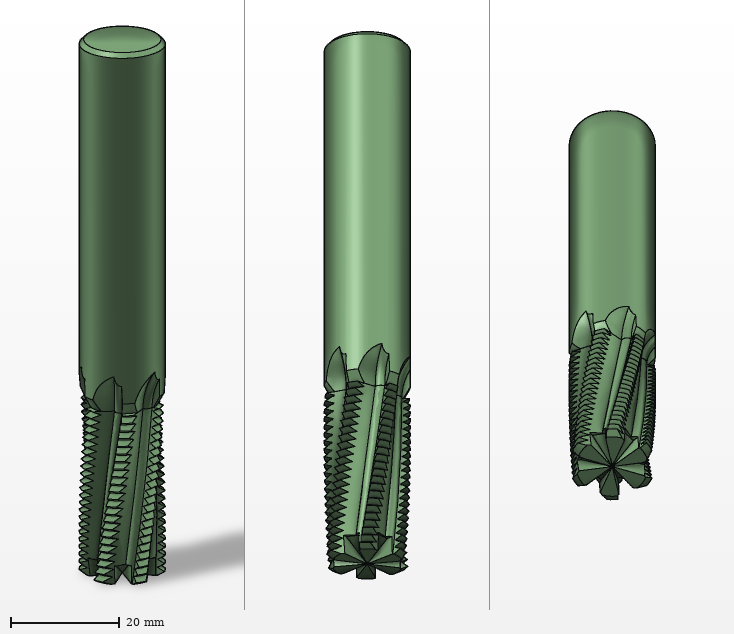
import cadquery as cq
import math


TOTAL_LENGTH = 105.0
SHANK_RADIUS = 8.0
TOP_CHAMFER = 0.8
TAPER_HEIGHT = 2.4

HEAD_LENGTH = 33.7
THREAD_PITCH = 1.5
TOOTH_ANGLE = 60.0
TIP_RADIUS = SHANK_RADIUS
TOOTH_HEIGHT = THREAD_PITCH / 2 / math.tan(math.radians(TOOTH_ANGLE / 2))
ROOT_RADIUS = TIP_RADIUS - TOOTH_HEIGHT

FLUTE_COUNT = 6
FLUTE_SPACING = 360.0 / FLUTE_COUNT
CORNER_RADIUS = 5.1
FLUTE_TURN = 7.0
FLUTE_FILLET = 1.3
HELIX_ANGLE = 10.0
RAKE_ANGLE_AT_SPLIT = -82.5
FLUTE_SIDE = SHANK_RADIUS
TWIST = math.degrees(HEAD_LENGTH * math.tan(math.radians(HELIX_ANGLE)) / TIP_RADIUS)

RUNOUT_LENGTH = 8.1
RUNOUT_DEPTH = SHANK_RADIUS - CORNER_RADIUS
RUNOUT_ARC = (RUNOUT_LENGTH**2 + RUNOUT_DEPTH**2) / (2 * RUNOUT_DEPTH)
RUNOUT_AXIS = CORNER_RADIUS + RUNOUT_ARC

GASH_DEPTH = 3.6
GASH_ANGLE = 28.0
GASH_REACH = 2 * SHANK_RADIUS


def plane_at(height, angle):
    """Horizontal plane whose local x axis points outward at the given angle."""
    x_direction = (math.cos(math.radians(angle)), math.sin(math.radians(angle)), 0)
    return cq.Plane(origin=(0, 0, height), xDir=x_direction, normal=(0, 0, 1))


def rake_angle_at_split(index):
    return RAKE_ANGLE_AT_SPLIT + index * FLUTE_SPACING


def flute_section(plane):
    """Square-cornered flute section: the rake face and the floor meet in a fillet.

    The corner lies on local x, and the section is turned so that the floor rises from it.
    """
    turn = math.radians(FLUTE_TURN)

    def point(along_rake, along_floor):
        x = CORNER_RADIUS + along_rake * math.cos(turn) + along_floor * math.sin(turn)
        y = along_rake * math.sin(turn) - along_floor * math.cos(turn)
        return (x, y)

    return (
        cq.Workplane(plane)
        .moveTo(*point(FLUTE_SIDE, 0))
        .lineTo(*point(FLUTE_FILLET, 0))
        .radiusArc(point(0, FLUTE_FILLET), FLUTE_FILLET)
        .lineTo(*point(0, FLUTE_SIDE))
        .lineTo(*point(FLUTE_SIDE, FLUTE_SIDE))
        .close()
    )


def helical_flute(index):
    """Right-hand helical flute over the full length of the head."""
    plane = plane_at(0, rake_angle_at_split(index) - TWIST)
    return flute_section(plane).twistExtrude(HEAD_LENGTH, TWIST)


def flute_runout(index):
    """End of a flute in the shank, where the section swings outward on an arc."""
    plane = plane_at(HEAD_LENGTH, rake_angle_at_split(index))
    return flute_section(plane).revolve(90, (RUNOUT_AXIS, 0, 0), (RUNOUT_AXIS, 1, 0))


def end_gash(index):
    """Wedge under a flute whose roof falls from the flute floor to the centre of the end face."""
    base = plane_at(0, rake_angle_at_split(index) - TWIST)
    upright = cq.Plane(origin=(0, 0, 0), xDir=base.xDir.toTuple(), normal=(-base.yDir).toTuple())
    wedge_side = GASH_REACH * math.tan(math.radians(GASH_ANGLE))
    wedge = (
        cq.Workplane(base)
        .lineTo(GASH_REACH, 0)
        .lineTo(GASH_REACH, -wedge_side)
        .close()
        .extrude(GASH_DEPTH)
    )
    below_roof = (
        cq.Workplane(upright)
        .lineTo(CORNER_RADIUS, GASH_DEPTH)
        .lineTo(GASH_REACH, GASH_DEPTH)
        .lineTo(GASH_REACH, 0)
        .close()
        .extrude(wedge_side)
    )
    return wedge.intersect(below_roof)


def make_shank():
    """Chamfered cylinder that tapers to the thread root and takes the flute run-outs."""
    shank = (
        cq.Workplane("XZ")
        .moveTo(0, HEAD_LENGTH)
        .lineTo(-ROOT_RADIUS, HEAD_LENGTH)
        .lineTo(-SHANK_RADIUS, HEAD_LENGTH + TAPER_HEIGHT)
        .lineTo(-SHANK_RADIUS, TOTAL_LENGTH - TOP_CHAMFER)
        .lineTo(-SHANK_RADIUS + TOP_CHAMFER, TOTAL_LENGTH)
        .lineTo(0, TOTAL_LENGTH)
        .close()
        .revolve(360, (0, 0, 0), (0, 1, 0))
    )
    for index in range(FLUTE_COUNT):
        shank = shank.cut(flute_runout(index))
    return shank


def threaded_blank():
    """Round blank with a row of V-shaped rings, the top one cut off at the head length."""
    profile = cq.Workplane("XZ").lineTo(ROOT_RADIUS, 0)
    ring_count = math.ceil(HEAD_LENGTH / THREAD_PITCH)
    for ring in range(ring_count):
        ring_start = ring * THREAD_PITCH
        profile = profile.lineTo(TIP_RADIUS, ring_start + THREAD_PITCH / 2)
        profile = profile.lineTo(ROOT_RADIUS, ring_start + THREAD_PITCH)
    blank = profile.lineTo(0, ring_count * THREAD_PITCH).close().revolve(360, (0, 0, 0), (0, 1, 0))
    envelope = cq.Workplane("XY").circle(2 * TIP_RADIUS).extrude(HEAD_LENGTH)
    return blank.intersect(envelope)


def make_head():
    """Threaded blank divided into helical rows of teeth and gashed at its end."""
    head = threaded_blank()
    for index in range(FLUTE_COUNT):
        head = head.cut(helical_flute(index))
        head = head.cut(end_gash(index))
    return head


shank = make_shank()
head = make_head()
result = cq.Compound.makeCompound([shank.solids().val(), head.solids().val()])